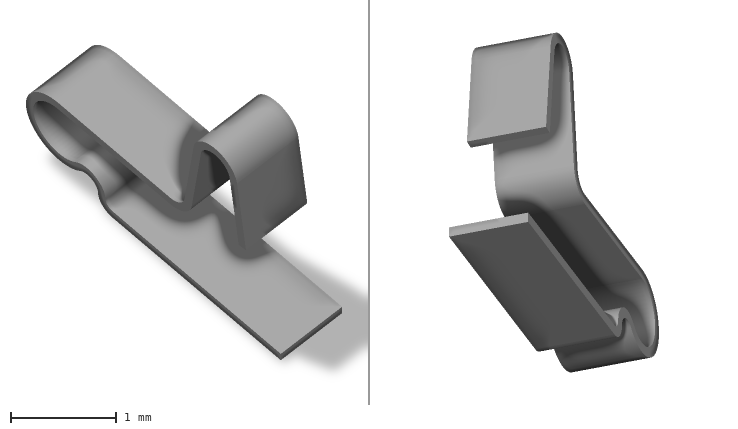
import cadquery as cq
import math

length = 3.5
width = 0.8
height = 2.5
thickness = 0.1
half_thickness = thickness / 2

loop_outer_radius = 0.45
bump_outer_radius = 0.25
foot_outer_radius = 0.2
knee_outer_radius = 0.3
crest_outer_radius = 0.3

loop_center_z = 0.65
crest_center_x = 2.6
leg_tilt = math.radians(7.4)
free_leg_length = 0.955

loop_radius = loop_outer_radius - half_thickness
bump_radius = bump_outer_radius - half_thickness
foot_radius = foot_outer_radius - half_thickness
knee_radius = knee_outer_radius - half_thickness
crest_radius = crest_outer_radius - half_thickness

loop_center = (loop_outer_radius, loop_center_z)
foot_center_z = foot_outer_radius
bump_rise = loop_center_z - foot_center_z
bump_run = math.sqrt((loop_radius + bump_radius) ** 2 - bump_rise ** 2)
bump_center = (loop_center[0] + bump_run, foot_center_z)
foot_center = (bump_center[0] + bump_radius + foot_radius, foot_center_z)
crest_center = (crest_center_x, height - crest_outer_radius)
knee_center_z = loop_center_z + loop_radius + knee_radius
knee_to_crest_rise = crest_center[1] - knee_center_z
knee_to_crest_run = (
    knee_radius + crest_radius + knee_to_crest_rise * math.sin(leg_tilt)
) / math.cos(leg_tilt)
knee_center = (crest_center_x - knee_to_crest_run, knee_center_z)

junction_angle = math.atan2(bump_rise, -bump_run)

foot_bend = (foot_center, foot_radius, 1.5 * math.pi, math.pi)
bump_bend = (bump_center, bump_radius, 0, junction_angle)
loop_bend = (loop_center, loop_radius, junction_angle - math.pi, -1.5 * math.pi)
knee_bend = (knee_center, knee_radius, -math.pi / 2, -leg_tilt)
crest_bend = (crest_center, crest_radius, math.pi - leg_tilt, leg_tilt)

bend_groups = [[foot_bend, bump_bend, loop_bend], [knee_bend], [crest_bend]]


def polar(center, radius, angle):
    return (center[0] + radius * math.cos(angle), center[1] + radius * math.sin(angle))


def face_arc(bend, side):
    """Start, middle and end of a bend on the left (+1) or right (-1) strip face."""
    center, radius, start, end = bend
    turn = 1 if end > start else -1
    face_radius = radius - side * turn * half_thickness
    return [polar(center, face_radius, a) for a in (start, (start + end) / 2, end)]


def free_tip(side):
    """Corner of the free leg's end on the given strip face."""
    x, z = face_arc(crest_bend, side)[2]
    return (x + free_leg_length * math.sin(leg_tilt), z - free_leg_length * math.cos(leg_tilt))


def add_bends(outline, arcs):
    """Run straight to the first arc, then follow the consecutive arcs."""
    outline = outline.lineTo(*arcs[0][0])
    for _, middle, end in arcs:
        outline = outline.threePointArc(middle, end)
    return outline


def strip_outline():
    outline = cq.Workplane("XZ", origin=(0, width / 2, 0)).moveTo(length, 0)
    for group in bend_groups:
        outline = add_bends(outline, [face_arc(bend, 1) for bend in group])
    outline = outline.lineTo(*free_tip(1)).lineTo(*free_tip(-1))
    for group in reversed(bend_groups):
        return_arcs = [face_arc(bend, -1)[::-1] for bend in reversed(group)]
        outline = add_bends(outline, return_arcs)
    return outline.lineTo(length, thickness).close()


result = strip_outline().extrude(width)